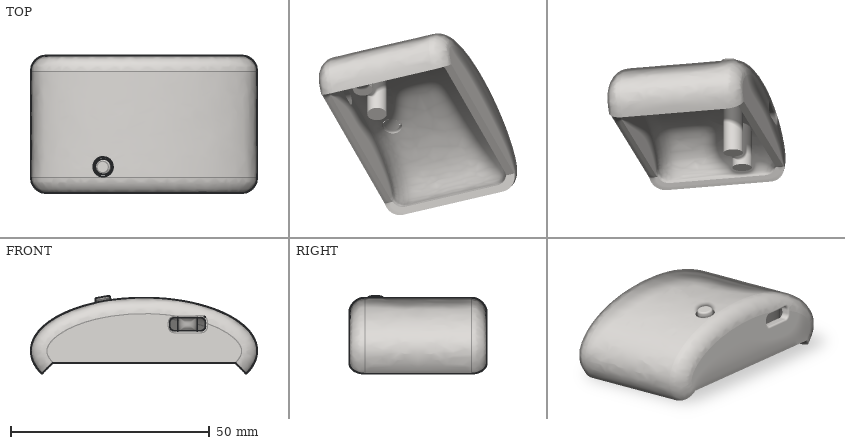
import cadquery as cq
import math

LENGTH_X = 57.15
WIDTH_Y = 34.8
HALF_X = LENGTH_X / 2
HALF_Y = WIDTH_Y / 2
HALF_Z = 13.45
END_RADIUS = 4.0
WALL = 2.0
CAVITY_RADIUS = 3.0

OPENING_Z = -3.1
OPENING_HALF_X = 23.1
OPENING_DEPTH = HALF_Z

SLOT_X = 11.0
SLOT_Z = 6.7
SLOT_LENGTH = 9.0
SLOT_HEIGHT = 3.3
SLOT_CORNER_RADIUS = 1.2
SLOT_LIP_RADIUS = 0.45

POST_DIAMETER = 4.9
POST_XS = (SLOT_X, 21.4)
POST_Y = -7.0

BUTTON_X = -10.3
BUTTON_Y = -10.7
BUTTON_DIAMETER = 3.9
BUTTON_EDGE_RADIUS = 0.5
BUTTON_HEIGHT = 1.1
BUTTON_HOLE_DIAMETER = 4.9
HINGE_RECESS = 0.5

CUT_CLEARANCE = 2.0


def roof_height(x):
    """Height of the outer ellipse above the X axis."""
    return HALF_Z * math.sqrt(1 - (x / HALF_X) ** 2)


def roof_tilt(x):
    """Angle in degrees between the outer surface normal and Z."""
    return math.degrees(math.atan2(x * HALF_Z**2, roof_height(x) * HALF_X**2))


def rounded_tube(inset, edge_radius):
    """Solid elliptical bar, inset from the outer surface, with rounded end edges."""
    half_length = HALF_Y - inset
    bar = (
        cq.Workplane("XZ", origin=(0, half_length, 0))
        .ellipse(HALF_X - inset, HALF_Z - inset)
        .extrude(2 * half_length)
    )
    return bar.faces("<Y or >Y").edges().fillet(edge_radius)


def underside_opening():
    """Flared block that opens the underside across the full width."""
    return (
        cq.Workplane("XZ", origin=(0, HALF_Y, 0))
        .moveTo(-OPENING_HALF_X, OPENING_Z)
        .lineTo(OPENING_HALF_X, OPENING_Z)
        .lineTo(OPENING_HALF_X + OPENING_DEPTH, OPENING_Z - OPENING_DEPTH)
        .lineTo(-OPENING_HALF_X - OPENING_DEPTH, OPENING_Z - OPENING_DEPTH)
        .close()
        .extrude(WIDTH_Y)
    )


def cut_connector_slot(body):
    """Cut a rounded slot through the -Y end wall and round its outer rim."""
    slot = (
        cq.Workplane("XZ", origin=(SLOT_X, -HALF_Y + WALL + CUT_CLEARANCE, SLOT_Z))
        .rect(SLOT_LENGTH, SLOT_HEIGHT)
        .extrude(WALL + 2 * CUT_CLEARANCE)
        .edges("|Y")
        .fillet(SLOT_CORNER_RADIUS)
    )
    rim_half_sizes = (SLOT_LENGTH / 2 + SLOT_LIP_RADIUS, WALL / 2, SLOT_HEIGHT / 2 + SLOT_LIP_RADIUS)
    rim_centre = (SLOT_X, -HALF_Y, SLOT_Z)
    low = [centre - half for centre, half in zip(rim_centre, rim_half_sizes)]
    high = [centre + half for centre, half in zip(rim_centre, rim_half_sizes)]
    rim = cq.selectors.BoxSelector(low, high, boundingbox=True)
    return body.cut(slot).edges(rim).fillet(SLOT_LIP_RADIUS)


def posts():
    """Round posts whose tops follow the middle of the roof wall."""
    columns = (
        cq.Workplane("XY", origin=(0, 0, OPENING_Z))
        .pushPoints([(x, POST_Y) for x in POST_XS])
        .circle(POST_DIAMETER / 2)
        .extrude(HALF_Z - OPENING_Z)
    )
    return columns.intersect(rounded_tube(WALL / 2, CAVITY_RADIUS))


def button_hole():
    """Vertical hole through the roof, leaving a recessed quarter as the button hinge."""
    surface_z = roof_height(BUTTON_X)
    hole_radius = BUTTON_HOLE_DIAMETER / 2
    hole_depth = WALL + CUT_CLEARANCE
    hole = (
        cq.Workplane("XY", origin=(BUTTON_X, BUTTON_Y, surface_z - hole_depth))
        .circle(hole_radius)
        .extrude(hole_depth + CUT_CLEARANCE)
    )
    hinge = (
        cq.Workplane("XY", origin=(BUTTON_X, BUTTON_Y, surface_z - HINGE_RECESS))
        .rect(hole_radius, hole_radius, centered=False)
        .extrude(-hole_depth)
    )
    return hole.cut(hinge)


def button():
    """Button as deep as the roof wall, rounded on top and square to the roof surface."""
    cap = (
        cq.Workplane("XY", origin=(0, 0, -WALL))
        .circle(BUTTON_DIAMETER / 2)
        .extrude(WALL + BUTTON_HEIGHT)
        .faces(">Z")
        .edges()
        .fillet(BUTTON_EDGE_RADIUS)
    )
    tilted = cap.rotate((0, 0, 0), (0, 1, 0), roof_tilt(BUTTON_X))
    return tilted.translate((BUTTON_X, BUTTON_Y, roof_height(BUTTON_X)))


shell = rounded_tube(0, END_RADIUS).cut(rounded_tube(WALL, CAVITY_RADIUS))
shell = shell.cut(underside_opening())
shell = cut_connector_slot(shell)
result = shell.union(posts()).cut(button_hole()).union(button())